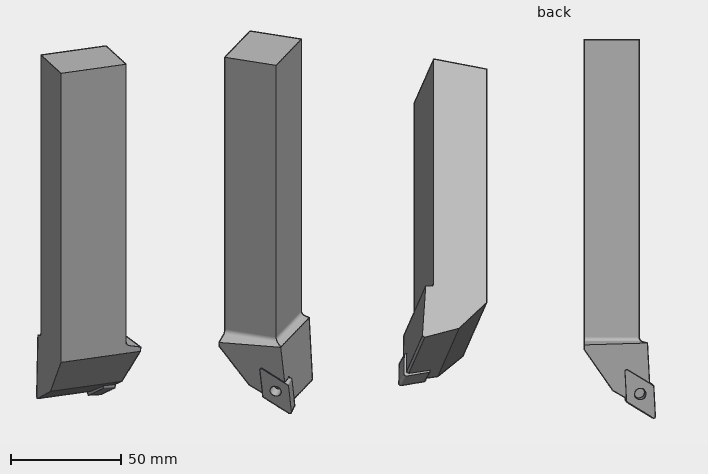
import cadquery as cq
import math

SHANK_WIDTH = 25.0
SHANK_DEPTH = 31.7
TOP_Z = 171.4

SHOULDER_SLOPE = 15.0
SHOULDER_FILLET = 2.0
SHOULDER_Z = 35.1
HEAD_OVERHANG = 3.8
HEAD_LEAN = 3.0
END_ANGLE = 30.0
BEND_X = 12.0
BEND_Z = 12.5
RIGHT_END_Z = 31.2
NOSE_CUT = 1.2
STOCK_REACH = 17.1
STOCK_FLOOR_Z = -8.5

RAKE_Y = 31.7
RAKE_SLOPE_X = 0.115
RAKE_SLOPE_Z = 0.13
RAKE_NORMAL = (-RAKE_SLOPE_X, 1, -RAKE_SLOPE_Z)

INSERT_SIDE = 15.6
INSERT_CORNER_ANGLE = 55.0
INSERT_HOLE_DIAMETER = 5.1
INSERT_THICKNESS = 6.2
INSERT_NOSE_RADIUS = 0.9
INSERT_PROUD = 0.5
INSERT_TIP_X = -7.4
INSERT_TIP_Z = -0.7
INSERT_LEAN = 3.0


def tan(angle):
    return math.tan(math.radians(angle))


def rake_y(x, z):
    return RAKE_Y + RAKE_SLOPE_X * x + RAKE_SLOPE_Z * z


def rake_plane(x, z, edge_lean=0.0):
    """Plane on the rake face; local X runs up the face, normal points out of it."""
    upward = (tan(edge_lean), RAKE_SLOPE_X * tan(edge_lean) + RAKE_SLOPE_Z, 1)
    return cq.Plane(
        origin=(x, rake_y(x, z), z), xDir=upward, normal=RAKE_NORMAL
    )


def make_shoulder_strip(inner_width, length):
    """Shank flank at X = 0 flaring toward +X into the shoulder, extruded along +Y."""
    slope = math.radians(SHOULDER_SLOPE)
    tangent_length = SHOULDER_FILLET * math.tan(math.pi / 4 - slope / 2)
    center_z = SHOULDER_Z + tangent_length
    mid_angle = (math.pi / 2 - slope) / 2
    arc_middle = (
        SHOULDER_FILLET * (1 - math.cos(mid_angle)),
        center_z - SHOULDER_FILLET * math.sin(mid_angle),
    )
    arc_end = (
        tangent_length * math.cos(slope),
        SHOULDER_Z - tangent_length * math.sin(slope),
    )
    return (
        cq.Workplane("XZ")
        .moveTo(-inner_width, STOCK_FLOOR_Z)
        .lineTo(-inner_width, TOP_Z)
        .lineTo(0, TOP_Z)
        .lineTo(0, center_z)
        .threePointArc(arc_middle, arc_end)
        .lineTo(STOCK_REACH, SHOULDER_Z - STOCK_REACH * tan(SHOULDER_SLOPE))
        .lineTo(STOCK_REACH, STOCK_FLOOR_Z)
        .close()
        .extrude(-length)
    )


def make_shouldered_stock():
    """Shank with a shoulder on its left and back sides, meeting in a miter."""
    left = make_shoulder_strip(SHANK_WIDTH, SHANK_DEPTH + STOCK_REACH).mirror("YZ")
    back = (
        make_shoulder_strip(SHANK_DEPTH, SHANK_WIDTH + STOCK_REACH)
        .rotate((0, 0, 0), (0, 0, 1), 90)
        .translate((SHANK_WIDTH, SHANK_DEPTH, 0))
    )
    return left.intersect(back)


def make_side_outline():
    """Prism with the leaning left face, cut nose, end face, relief slope and shank."""
    lean = tan(HEAD_LEAN)
    end_slope = tan(END_ANGLE)
    shoulder_edge_z = SHOULDER_Z - HEAD_OVERHANG * tan(SHOULDER_SLOPE)
    end_z_at_shank = BEND_Z - BEND_X * end_slope
    nose_x = (-HEAD_OVERHANG + (end_z_at_shank - shoulder_edge_z) * lean) / (1 - end_slope * lean)
    nose_z = end_z_at_shank + nose_x * end_slope
    points = [
        (-HEAD_OVERHANG, TOP_Z),
        (-HEAD_OVERHANG, shoulder_edge_z),
        (nose_x + NOSE_CUT * lean, nose_z + NOSE_CUT),
        (nose_x + NOSE_CUT, nose_z + NOSE_CUT * end_slope),
        (BEND_X, BEND_Z),
        (SHANK_WIDTH, RIGHT_END_Z),
        (SHANK_WIDTH, TOP_Z),
    ]
    return cq.Workplane("XZ").polyline(points).close().extrude(-SHANK_DEPTH - STOCK_REACH)


def make_rake_cutter():
    """Block covering everything outside the rake face."""
    return cq.Workplane(rake_plane(0, 0)).rect(2 * TOP_Z, 2 * TOP_Z).extrude(STOCK_REACH * 2)


def make_insert_blank():
    """Rhombic prism with rounded corners, one of them at the tool tip."""
    angle = math.radians(INSERT_CORNER_ANGLE)
    reach = INSERT_SIDE * math.cos(angle)
    height = INSERT_SIDE * math.sin(angle)
    rhombus = [(0, 0), (INSERT_SIDE, 0), (INSERT_SIDE + reach, height), (reach, height)]
    return (
        cq.Workplane(rake_plane(INSERT_TIP_X, INSERT_TIP_Z, INSERT_LEAN))
        .workplane(offset=INSERT_PROUD - INSERT_THICKNESS)
        .polyline(rhombus)
        .close()
        .extrude(INSERT_THICKNESS)
        .edges(cq.selectors.ParallelDirSelector(cq.Vector(*RAKE_NORMAL)))
        .fillet(INSERT_NOSE_RADIUS)
    )


def make_insert():
    """Insert blank with a through hole at its center."""
    return (
        make_insert_blank()
        .faces(cq.selectors.DirectionMinMaxSelector(cq.Vector(*RAKE_NORMAL)))
        .workplane(centerOption="CenterOfMass")
        .hole(INSERT_HOLE_DIAMETER)
    )


def make_holder():
    """Shank and head in one piece, with a pocket that fits the insert."""
    return (
        make_shouldered_stock()
        .intersect(make_side_outline())
        .cut(make_rake_cutter())
        .cut(make_insert_blank())
    )


insert = make_insert()
holder = make_holder()
result = cq.Compound.makeCompound([holder.val(), insert.val()])